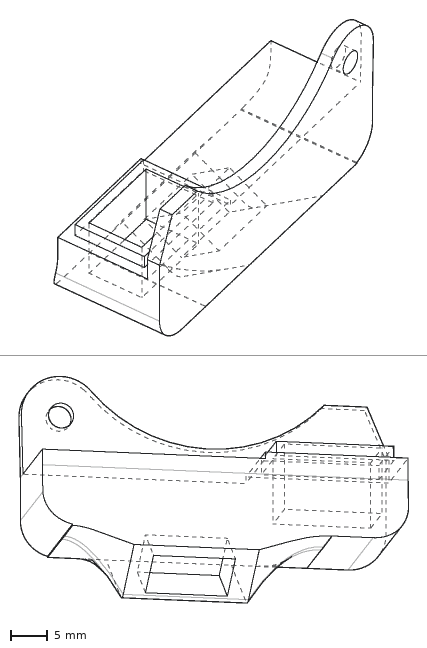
import cadquery as cq
import math

body_length = 51.15
body_depth = 17.1
body_bottom = 8.2
front_corner_radius = 5.35
rear_corner_radius = 5.05
deck_height = 19.35
step_height = 20.3
step_length = 20.0
front_arc_top = 17.15
front_arc_radius = 17.9

nose_tip_x = -21.5
nose_tip_z = 5.35
keel_x = -12.2
keel_sharp_z = -0.3
keel_half_width = 0.9
nose_start = 21.6
nose_end = 39.15
front_flare = 10.55
rear_flare = 8.2
front_flare_power = 2
rear_flare_power = 1.7
flare_steps = 4
flare_end_fraction = 0.01
nose_overlap = 1.05

plate_thickness = 2.05
lug_radius = 5.55
lug_y = 51.35 - lug_radius
lug_z = 33.45 - lug_radius
lug_hole_diameter = 3.5
scoop_y = 24.8
scoop_bottom = 24.05
plate_top = 30.9
plate_top_start = 3.05
plate_top_end = 9.05
plate_front_height = 23.85

rim_height = 2.0
rim_x = (-15.35, -3.75)
rim_y = (1.7, 18.15)
rim_wall = 1.4
socket_depth = 9.25

outlet_y = (24.65, 36.1)
outlet_low_z = 0.5
outlet_high_z = 4.3
outlet_depth = 7.7


def box(x_range, y_range, z_range):
    """Axis-aligned box between pairs of limits."""
    size = [b - a for a, b in (x_range, y_range, z_range)]
    return cq.Workplane("XY").box(*size, centered=False).translate((x_range[0], y_range[0], z_range[0]))


def front_wall_envelope():
    """Everything behind the front wall, which curves outwards to the nose tip."""
    arc_center_x = -body_depth - front_arc_radius
    drop = front_arc_top - nose_tip_z
    tip_angle = math.asin(drop / front_arc_radius)
    arc_mid = (
        arc_center_x + front_arc_radius * math.cos(tip_angle / 2),
        front_arc_top - front_arc_radius * math.sin(tip_angle / 2),
    )
    return (
        cq.Workplane("XZ")
        .moveTo(0, step_height)
        .lineTo(-body_depth, step_height)
        .lineTo(-body_depth, front_arc_top)
        .threePointArc(arc_mid, (nose_tip_x, nose_tip_z))
        .lineTo(nose_tip_x, keel_sharp_z)
        .lineTo(0, keel_sharp_z)
        .close()
        .extrude(-body_length)
    )


def body_block():
    """Stepped block with rounded lower ends."""
    block = box((nose_tip_x, 0), (0, body_length), (body_bottom, step_height))
    block = block.faces("<Y").edges("|X and <Z").fillet(front_corner_radius)
    block = block.faces(">Y").edges("|X and <Z").fillet(rear_corner_radius)
    return block.cut(box((nose_tip_x, 0), (step_length, body_length), (deck_height, step_height)))


def nose_section(y, fraction):
    """Keel section at y; its drop below the body is the given fraction of full depth."""
    def point(x, z):
        return cq.Vector(x, y, body_bottom + fraction * (z - body_bottom))

    rear_slope = (body_bottom - keel_sharp_z) / -keel_x
    front_slope = (nose_tip_z - keel_sharp_z) / (keel_x - nose_tip_x)
    top = body_bottom + nose_overlap
    rear = point(0, body_bottom)
    keel_rear = point(keel_x + keel_half_width, keel_sharp_z + rear_slope * keel_half_width)
    keel_front = point(keel_x - keel_half_width, keel_sharp_z + front_slope * keel_half_width)
    tip = point(nose_tip_x, nose_tip_z)
    top_front = cq.Vector(nose_tip_x, y, top)
    top_rear = cq.Vector(0, y, top)
    return cq.Wire.assembleEdges([
        cq.Edge.makeLine(top_rear, rear),
        cq.Edge.makeLine(rear, keel_rear),
        cq.Edge.makeThreePointArc(keel_rear, point(keel_x, 0), keel_front),
        cq.Edge.makeLine(keel_front, tip),
        cq.Edge.makeLine(tip, top_front),
        cq.Edge.makeLine(top_front, top_rear),
    ])


def flare(y_full, length, power):
    """Nose end whose depth dies away by a power curve; a negative length runs towards -Y."""
    sections = []
    for i in range(flare_steps + 1):
        t = i / flare_steps
        fraction = max((1 - t) ** power, flare_end_fraction)
        sections.append(nose_section(y_full + t * length, fraction))
    return cq.Workplane(obj=cq.Solid.makeLoft(sections))


def nose():
    """Straight keel with a flare at each end."""
    sections = [nose_section(nose_start, 1), nose_section(nose_end, 1)]
    middle = cq.Workplane(obj=cq.Solid.makeLoft(sections, True))
    front_end = flare(nose_start, -front_flare, front_flare_power)
    rear_end = flare(nose_end, rear_flare, rear_flare_power)
    return middle.union(front_end).union(rear_end)


def plate():
    """Back plate: pivot lug, circular scoop blending into the lug, and a sloped front end."""
    dy = lug_y - scoop_y
    dz = lug_z - scoop_bottom
    scoop_radius = (dy**2 + dz**2 - lug_radius**2) / (2 * (dz + lug_radius))
    scoop_z = scoop_bottom + scoop_radius
    blend = lug_radius / (lug_radius + scoop_radius)
    tangent_point = (lug_y - blend * dy, lug_z + blend * (scoop_z - lug_z))
    profile = (
        cq.Workplane("YZ")
        .moveTo(0, deck_height)
        .lineTo(0, plate_front_height)
        .lineTo(plate_top_start, plate_top)
        .lineTo(plate_top_end, plate_top)
        .threePointArc((scoop_y, scoop_bottom), tangent_point)
        .threePointArc((lug_y, lug_z + lug_radius), (lug_y + lug_radius, lug_z))
        .lineTo(body_length, deck_height)
        .close()
        .extrude(-plate_thickness)
    )
    hole = (
        cq.Workplane("YZ").center(lug_y, lug_z).circle(lug_hole_diameter / 2).extrude(-plate_thickness)
    )
    return profile.cut(hole)


def socket_cavity():
    """Blind rectangular pocket inside the rim."""
    top = step_height + rim_height
    inner_x = (rim_x[0] + rim_wall, rim_x[1] - rim_wall)
    inner_y = (rim_y[0] + rim_wall, rim_y[1] - rim_wall)
    return box(inner_x, inner_y, (top - socket_depth, top))


def outlet():
    """Blind rectangular channel from the slanted nose face, parallel to the rear keel face."""
    run = keel_x - nose_tip_x
    fall = nose_tip_z - keel_sharp_z
    rear_rise = body_bottom - keel_sharp_z
    rear_length = math.hypot(keel_x, rear_rise)
    inward = (-keel_x / rear_length * outlet_depth, rear_rise / rear_length * outlet_depth)

    def corner(z, along):
        face_x = nose_tip_x + run * (nose_tip_z - z) / fall
        return (face_x + along * inward[0], z + along * inward[1])

    outside = -0.1
    corners = [
        corner(outlet_low_z, outside),
        corner(outlet_low_z, 1),
        corner(outlet_high_z, 1),
        corner(outlet_high_z, outside),
    ]
    channel = cq.Workplane("XZ").polyline(corners).close().extrude(outlet_y[0] - outlet_y[1])
    return channel.translate((0, outlet_y[0], 0))


rim = box(rim_x, rim_y, (step_height, step_height + rim_height))
shell = body_block().union(nose()).intersect(front_wall_envelope())
result = shell.union(plate()).union(rim).cut(socket_cavity()).cut(outlet())